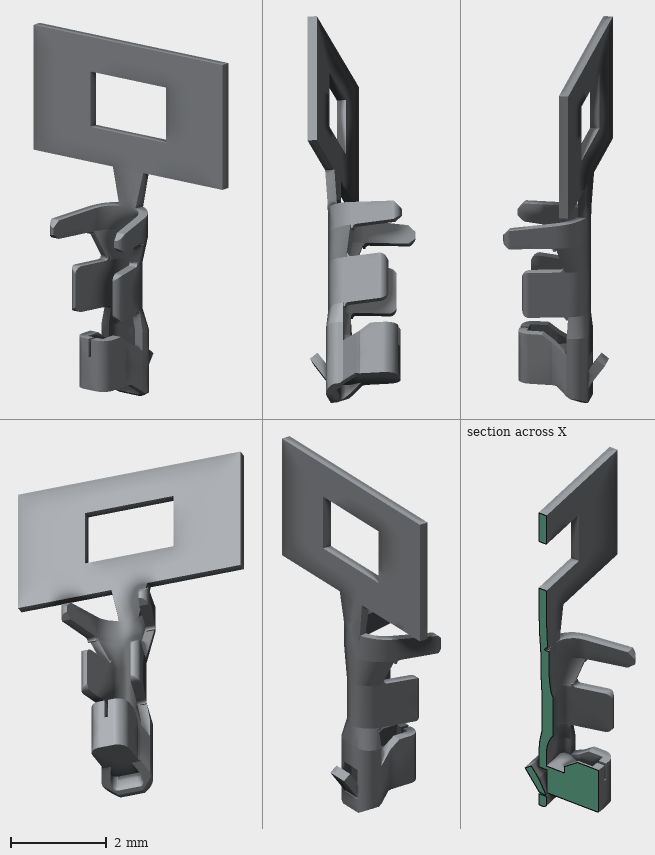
import cadquery as cq
import math

WALL = 0.2

PLATE_WIDTH = 5.0
PLATE_TOP = 7.6
PLATE_BOTTOM = 4.89
WINDOW_WIDTH = 2.0
WINDOW_TOP = 6.85
WINDOW_BOTTOM = 5.65
NECK_TOP_HALF = 0.4
NECK_BOTTOM_HALF = 0.25

INSULATION_RADIUS = 0.76
INSULATION_BOTTOM = 3.56
INSULATION_TOP = 4.11
INSULATION_TIP_TOP = 3.96
INSULATION_END = 1.7
INSULATION_TIP_CHAMFER = 0.145
INSULATION_LOW_CHAMFER = 0.115
CONDUCTOR_RADIUS = 0.46
CONDUCTOR_BOTTOM = 1.945
CONDUCTOR_TOP = 2.94
CONDUCTOR_END = 1.36
CONDUCTOR_TIP_RADIUS = 0.17
SPLAY = math.radians(13.5)
TIP_ROUND = 0.14
MIDDLE_ARC = math.radians(20)

UPPER_EDGE_TOP = 0.645
UPPER_EDGE_BOTTOM = 0.5
LOWER_EDGE_TOP = 0.43
EDGE_BLEND = 0.075

BOX_TOP = 1.5
BOX_HALF = 0.55
BOX_CORNER = 0.3
BOX_SIDE_END = 0.4
LOOP_HALF = 0.41
LOOP_FRONT = 1.5
LOOP_CORNER = 0.26
LOOP_START = 0.74
LOOP_BEND = 0.67
LOOP_BEND_OFFSET = 0.02
LOOP_BOTTOM = 0.395
POCKET_HALF = 0.2
POCKET_FRONT = 1.315
POCKET_FLOOR = 1.095
SLIT_WIDTH = 0.075
SIDE_CUT_FRONT = 0.96
LEAD_IN_BACK = 0.12
LEAD_IN_FRONT = 0.645
CORNER_CUT_START = 0.27
CORNER_CUT_HEIGHT = 0.16

TANG_WIDTH = 0.495
TANG_ROOT = 0.305
TANG_WINDOW_TOP = 0.99
TANG_PROFILE = [(-WALL, TANG_ROOT), (0, 0.34), (0.35, 0.83), (0.19, 0.95), (0, 0.69)]


def plate_box(width, bottom, top):
    """Box of sheet thickness, centred on X, with its back on Y = 0."""
    return cq.Workplane("XY").box(width, WALL, top - bottom, centered=(True, False, False)).translate(
        (0, -WALL, bottom)
    )


def side_prism(points, width):
    """Prism with a (Y, Z) outline, centred on X."""
    return cq.Workplane("YZ").polyline(points).close().extrude(width / 2, both=True)


def channel(height, flat_half, radius, splay, end_depth, split=0):
    """Open U section: a middle, rounded corners and two legs whose inner edges reach end_depth.

    The middle is flat when flat_half is given, and otherwise part of the curve. A split angle
    divides that curve into a middle arc and two corner arcs.
    """
    tangent = math.pi / 2 - splay

    def at(r, angle, side):
        return (side * (flat_half + r * math.sin(angle)), r * math.cos(angle) - radius)

    def leg_end(r, side):
        x, y = at(r, tangent, 1)
        inner_tangent_y = at(radius - WALL, tangent, 1)[1]
        length = (end_depth + inner_tangent_y) / math.cos(splay)
        return (side * (x + length * math.sin(splay)), y - length * math.cos(splay))

    def face(sketch, r, side):
        """Draw one face of the sheet from the leg on the given side to the other leg."""
        sketch = sketch.lineTo(*at(r, tangent, side))
        if flat_half or split:
            half_corner = (tangent + split) / 2
            sketch = sketch.threePointArc(at(r, half_corner, side), at(r, split, side))
            if flat_half:
                sketch = sketch.lineTo(*at(r, split, -side))
            else:
                sketch = sketch.threePointArc(at(r, 0, side), at(r, split, -side))
            sketch = sketch.threePointArc(at(r, half_corner, -side), at(r, tangent, -side))
        else:
            sketch = sketch.threePointArc(at(r, 0, side), at(r, tangent, -side))
        return sketch.lineTo(*leg_end(r, -side))

    sketch = cq.Workplane("XY", origin=(0, 0, height)).moveTo(*leg_end(radius, 1))
    sketch = face(sketch, radius, 1)
    sketch = sketch.lineTo(*leg_end(radius - WALL, -1))
    return face(sketch, radius - WALL, -1).close()


def crimp(radius, bottom, top, end_depth):
    """Straight crimp barrel with the outer corners of both leg tips rounded."""
    barrel = channel(bottom, 0, radius, SPLAY, end_depth).extrude(top - bottom)
    return barrel.edges("|Z").edges("<X or >X").fillet(TIP_ROUND)


def loft(lower, upper):
    """Ruled solid between two closed sections."""
    return cq.Workplane(cq.Solid.makeLoft([lower.wire().val(), upper.wire().val()], True))


def carrier_plate():
    window = plate_box(WINDOW_WIDTH, WINDOW_BOTTOM, WINDOW_TOP)
    return plate_box(PLATE_WIDTH, PLATE_BOTTOM, PLATE_TOP).cut(window)


def neck():
    """Flat strip that narrows and bends to the curve of the insulation barrel."""
    half_angle = math.asin(NECK_BOTTOM_HALF / INSULATION_RADIUS)
    inner = INSULATION_RADIUS - WALL
    outer_y = INSULATION_RADIUS * (math.cos(half_angle) - 1)
    inner_x = inner * math.sin(half_angle)
    inner_y = inner * math.cos(half_angle) - INSULATION_RADIUS
    bottom = (
        cq.Workplane("XY", origin=(0, 0, INSULATION_TIP_TOP))
        .moveTo(-NECK_BOTTOM_HALF, outer_y)
        .threePointArc((0, 0), (NECK_BOTTOM_HALF, outer_y))
        .lineTo(inner_x, inner_y)
        .threePointArc((0, -WALL), (-inner_x, inner_y))
        .close()
    )
    top = (
        cq.Workplane("XY", origin=(0, 0, PLATE_BOTTOM))
        .moveTo(-NECK_TOP_HALF, 0)
        .lineTo(NECK_TOP_HALF, 0)
        .lineTo(NECK_TOP_HALF, -WALL)
        .lineTo(-NECK_TOP_HALF, -WALL)
        .close()
    )
    return loft(bottom, top)


def insulation_crimp():
    barrel = crimp(INSULATION_RADIUS, INSULATION_BOTTOM, INSULATION_TOP, INSULATION_END)
    tip_start = INSULATION_END - INSULATION_TIP_CHAMFER
    outline = [
        (0, INSULATION_BOTTOM),
        (-tip_start, INSULATION_BOTTOM),
        (-INSULATION_END, INSULATION_BOTTOM + INSULATION_LOW_CHAMFER),
        (-INSULATION_END, INSULATION_TIP_TOP - INSULATION_TIP_CHAMFER),
        (-tip_start, INSULATION_TIP_TOP),
        (0, INSULATION_TOP),
    ]
    return barrel.intersect(side_prism(outline, PLATE_WIDTH))


def conductor_crimp():
    barrel = crimp(CONDUCTOR_RADIUS, CONDUCTOR_BOTTOM, CONDUCTOR_TOP, CONDUCTOR_END)
    outline = [
        (0, CONDUCTOR_BOTTOM),
        (-CONDUCTOR_END, CONDUCTOR_BOTTOM),
        (-CONDUCTOR_END, CONDUCTOR_TOP),
        (0, CONDUCTOR_TOP),
    ]
    envelope = side_prism(outline, PLATE_WIDTH).edges("|X and <Y").fillet(CONDUCTOR_TIP_RADIUS)
    return barrel.intersect(envelope)


def upper_transition():
    return loft(
        channel(CONDUCTOR_TOP, 0, CONDUCTOR_RADIUS, SPLAY, UPPER_EDGE_BOTTOM),
        channel(INSULATION_BOTTOM, 0, INSULATION_RADIUS, SPLAY, UPPER_EDGE_TOP),
    )


def lower_transition():
    return loft(
        channel(BOX_TOP, BOX_HALF - BOX_CORNER, BOX_CORNER, 0, BOX_SIDE_END),
        channel(CONDUCTOR_BOTTOM, 0, CONDUCTOR_RADIUS, SPLAY, LOWER_EDGE_TOP, MIDDLE_ARC),
    )


def box_prism(inset, loop_half, loop_front, bottom, top):
    """Prism of the contact box outline, set in from its back and wide sides by inset."""
    half = BOX_HALF - inset
    outline = [
        (-half, -inset),
        (half, -inset),
        (half, -BOX_SIDE_END),
        (loop_half + LOOP_BEND_OFFSET, -LOOP_BEND),
        (loop_half, -LOOP_START),
        (loop_half, -loop_front),
        (-loop_half, -loop_front),
        (-loop_half, -LOOP_START),
        (-loop_half - LOOP_BEND_OFFSET, -LOOP_BEND),
        (-half, -BOX_SIDE_END),
    ]
    prism = cq.Workplane("XY", origin=(0, 0, bottom)).polyline(outline).close().extrude(top - bottom)
    return prism.edges("|Z and >Y").fillet(BOX_CORNER - inset)


def contact_box():
    box = box_prism(0, LOOP_HALF, LOOP_FRONT, 0, BOX_TOP).edges("|Z and <Y").fillet(LOOP_CORNER)

    box = box.cut(box_prism(WALL, POCKET_HALF, POCKET_FRONT, POCKET_FLOOR, BOX_TOP))
    slit = cq.Workplane("XY").box(
        SLIT_WIDTH, LOOP_FRONT - POCKET_FRONT, BOX_TOP - POCKET_FLOOR, centered=(True, False, False)
    )
    box = box.cut(slit.translate((0, -LOOP_FRONT, POCKET_FLOOR)))
    box = box.cut(box_prism(WALL, POCKET_HALF, POCKET_FRONT, 0, LOOP_BOTTOM))

    opening = [
        (-BOX_SIDE_END, POCKET_FLOOR),
        (-SIDE_CUT_FRONT, BOX_TOP),
        (-BOX_SIDE_END, BOX_TOP),
    ]
    box = box.cut(side_prism(opening, 2 * BOX_HALF))

    lead_in = [
        (-LEAD_IN_BACK, 0),
        (-LEAD_IN_FRONT, LOOP_BOTTOM),
        (-LOOP_FRONT, LOOP_BOTTOM),
        (-LOOP_FRONT, 0),
    ]
    box = box.cut(side_prism(lead_in, 2 * BOX_HALF))
    for side in (-1, 1):
        corner = [(side * CORNER_CUT_START, 0), (side * BOX_HALF, CORNER_CUT_HEIGHT), (side * BOX_HALF, 0)]
        box = box.cut(cq.Workplane("XZ").polyline(corner).close().extrude(LOOP_FRONT))
    return box


def edge_blend(radius, height, depth, direction):
    """Concave fillets where both open edges of a transition run into the legs of a crimp."""
    legs = channel(height, 0, radius, SPLAY, depth + 2 * EDGE_BLEND).extrude(direction * EDGE_BLEND)
    inside = -depth + EDGE_BLEND / 2
    far = height + direction * EDGE_BLEND
    bulge = EDGE_BLEND * (1 - math.sqrt(0.5))
    profile = (
        cq.Workplane("YZ")
        .moveTo(inside, height)
        .lineTo(-depth - EDGE_BLEND, height)
        .threePointArc((-depth - bulge, height + direction * bulge), (-depth, far))
        .lineTo(inside, far)
        .close()
        .extrude(PLATE_WIDTH / 2, both=True)
    )
    return legs.intersect(profile)


contact = (
    insulation_crimp()
    .union(conductor_crimp())
    .union(upper_transition())
    .union(lower_transition())
    .union(edge_blend(INSULATION_RADIUS, INSULATION_BOTTOM, UPPER_EDGE_TOP, -1))
    .union(edge_blend(CONDUCTOR_RADIUS, CONDUCTOR_TOP, UPPER_EDGE_BOTTOM, 1))
    .union(edge_blend(CONDUCTOR_RADIUS, CONDUCTOR_BOTTOM, LOWER_EDGE_TOP, -1))
)
box = contact_box().cut(plate_box(TANG_WIDTH, TANG_ROOT, TANG_WINDOW_TOP))
tang = side_prism(TANG_PROFILE, TANG_WIDTH)
result = contact.union(box).union(tang).union(neck()).union(carrier_plate())